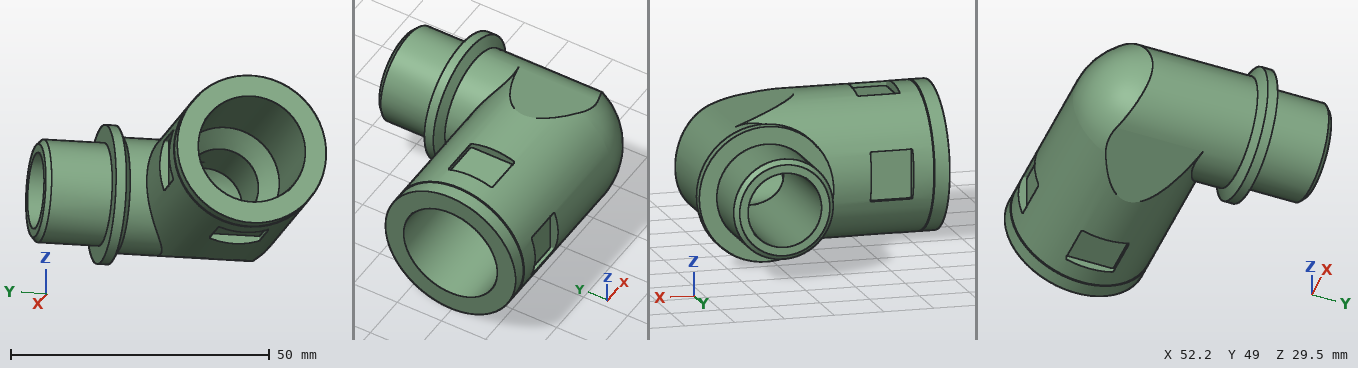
import cadquery as cq
import math

overall_length = 52.25
overall_depth = 49.0
body_radius = 29.5 / 2
neck_radius = 22.5 / 2
flange_radius = 27.0 / 2
spigot_radius = 20.0 / 2
spigot_axis_x = overall_length - flange_radius
spigot_end_y = overall_depth - body_radius

dome_center_x = 35.75
cheek_angle = math.radians(15)
tangent_x = spigot_axis_x + neck_radius * math.sin(cheek_angle)

flange_start_y = 19.3
flange_end_y = 21.3
cone_start_y = 18.05
spigot_chamfer = 0.95

socket_radius = 21.2 / 2
bore_radius = 14.8 / 2
socket_depth = 23.5
taper_length = 4.2
bore_dome_radius = 8.95

groove_x = 3.05
groove_width = 0.15
groove_depth = 0.1
pocket_start_x = 7.25
pocket_length = 8.5
pocket_width = 9.95
pocket_depth = 1.8
pocket_corner_radius = 0.35


def cheek_profile():
    """Side outline of the elbow, tapering tangentially onto the neck circle."""
    tangent_z = neck_radius * math.cos(cheek_angle)
    taper_x = tangent_x - (body_radius - tangent_z) / math.tan(cheek_angle)
    return (
        cq.Workplane("XZ")
        .moveTo(0, -body_radius)
        .lineTo(taper_x, -body_radius)
        .lineTo(tangent_x, -tangent_z)
        .threePointArc((spigot_axis_x + neck_radius, 0), (tangent_x, tangent_z))
        .lineTo(taper_x, body_radius)
        .lineTo(0, body_radius)
        .close()
        .extrude(body_radius, both=True)
    )


def elbow_body():
    """Round body with a domed outer corner and flat cheeks above and below."""
    barrel = cq.Workplane("YZ").circle(body_radius).extrude(dome_center_x)
    dome = (
        cq.Workplane("XY", origin=(dome_center_x, 0, 0))
        .moveTo(0, 0)
        .lineTo(body_radius, 0)
        .radiusArc((0, -body_radius), body_radius)
        .close()
        .revolve(360, (0, 0, 0), (0, 1, 0))
    )
    inner_side = (
        cq.Workplane("YZ")
        .moveTo(0, -body_radius)
        .threePointArc((body_radius, 0), (0, body_radius))
        .close()
        .extrude(tangent_x)
    )
    return barrel.union(dome).union(inner_side).intersect(cheek_profile())


def spigot():
    """Neck, flange with a conical underside, and chamfered spigot."""
    return (
        cq.Workplane("XY")
        .moveTo(0, 0)
        .lineTo(neck_radius, 0)
        .lineTo(neck_radius, cone_start_y)
        .lineTo(flange_radius, flange_start_y)
        .lineTo(flange_radius, flange_end_y)
        .lineTo(spigot_radius, flange_end_y)
        .lineTo(spigot_radius, spigot_end_y - spigot_chamfer)
        .lineTo(spigot_radius - spigot_chamfer, spigot_end_y)
        .lineTo(0, spigot_end_y)
        .close()
        .revolve(360, (0, 0, 0), (0, 1, 0))
        .translate((spigot_axis_x, 0, 0))
    )


def socket_bore():
    """Stepped bore along X, tapering to the smaller bore and ending in a dome."""
    tip_x = spigot_axis_x + bore_radius
    center_x = tip_x - bore_dome_radius
    dome_start_x = center_x + math.sqrt(bore_dome_radius**2 - bore_radius**2)
    dome_mid_angle = math.asin(bore_radius / bore_dome_radius) / 2
    dome_mid = (
        center_x + bore_dome_radius * math.cos(dome_mid_angle),
        bore_dome_radius * math.sin(dome_mid_angle),
    )
    return (
        cq.Workplane("XY")
        .moveTo(0, 0)
        .lineTo(0, socket_radius)
        .lineTo(socket_depth, socket_radius)
        .lineTo(socket_depth + taper_length, bore_radius)
        .lineTo(dome_start_x, bore_radius)
        .threePointArc(dome_mid, (tip_x, 0))
        .close()
        .revolve(360, (0, 0, 0), (1, 0, 0))
    )


def spigot_bore():
    """Straight bore along Y, open at the spigot end."""
    return (
        cq.Workplane("XZ")
        .center(spigot_axis_x, 0)
        .circle(bore_radius)
        .extrude(-spigot_end_y)
    )


def ring_groove():
    """Fine groove around the body near its open end."""
    return (
        cq.Workplane("YZ", origin=(groove_x, 0, 0))
        .circle(body_radius)
        .circle(body_radius - groove_depth)
        .extrude(groove_width)
    )


def wrench_pocket(angle):
    """Shallow flat-bottomed pocket, turned about X from the top of the body."""
    return (
        cq.Workplane("XY", origin=(0, 0, body_radius - pocket_depth))
        .center(pocket_start_x + pocket_length / 2, 0)
        .rect(pocket_length, pocket_width)
        .extrude(2 * pocket_depth)
        .edges("|Z")
        .fillet(pocket_corner_radius)
        .rotate((0, 0, 0), (1, 0, 0), angle)
    )


result = elbow_body().union(spigot()).cut(socket_bore()).cut(spigot_bore()).cut(ring_groove())
for pocket_angle in (0, 90, 180, 270):
    result = result.cut(wrench_pocket(pocket_angle))